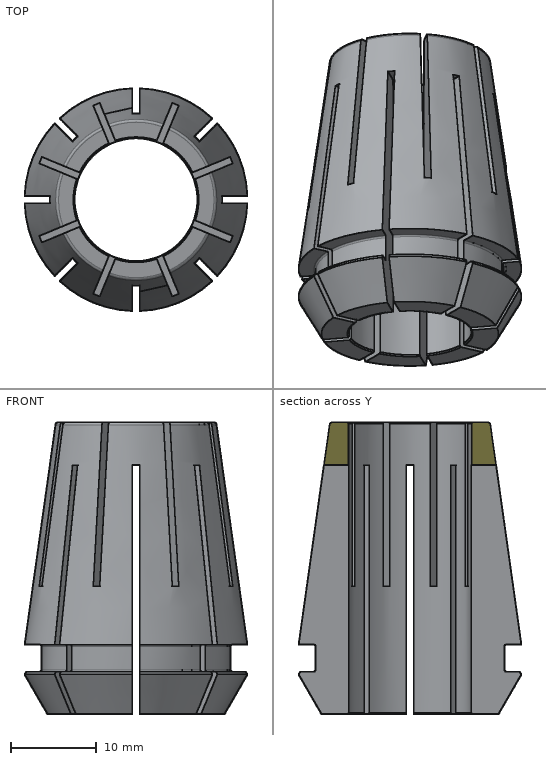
import cadquery as cq
import math

height = 34
rim_radius = 25.98 / 2
bore_radius = 14.28 / 2

taper_angle = 8
top_edge_radius = 0.35
bore_chamfer = 0.17

groove_radius = 22.03 / 2
groove_bottom = 4.95
groove_top = 8.1
groove_corner_radius = 0.2
nose_angle = 30
nose_rim_height = 4.62
nose_rim_chamfer = 0.2

slots_per_ring = 8
slot_pitch = 360 / slots_per_ring
slot_width = 0.8
lower_slot_end = 29.0
upper_slot_end = 14.9
cutter_length = height


def cone_drop(axial_length, angle):
    """Change of radius along a cone of the given half angle."""
    return axial_length * math.tan(math.radians(angle))


def make_body():
    """Revolved collet: nose cone, nut groove, clamping taper and bore."""
    nose_radius = rim_radius - cone_drop(nose_rim_height, nose_angle)
    top_radius = rim_radius - cone_drop(height - groove_top, taper_angle)
    corner = groove_corner_radius
    arc_inset = corner * (1 - math.sqrt(0.5))
    return (
        cq.Workplane("XZ")
        .moveTo(bore_radius + bore_chamfer, 0)
        .lineTo(nose_radius, 0)
        .lineTo(rim_radius, nose_rim_height)
        .lineTo(rim_radius - nose_rim_chamfer, groove_bottom)
        .lineTo(groove_radius + corner, groove_bottom)
        .threePointArc(
            (groove_radius + arc_inset, groove_bottom + arc_inset),
            (groove_radius, groove_bottom + corner),
        )
        .lineTo(groove_radius, groove_top - corner)
        .threePointArc(
            (groove_radius + arc_inset, groove_top - arc_inset),
            (groove_radius + corner, groove_top),
        )
        .lineTo(rim_radius, groove_top)
        .lineTo(top_radius, height)
        .lineTo(bore_radius + bore_chamfer, height)
        .lineTo(bore_radius, height - bore_chamfer)
        .lineTo(bore_radius, bore_chamfer)
        .close()
        .revolve(360, (0, 0, 0), (0, 1, 0))
        .faces(">Z")
        .edges(cq.selectors.RadiusNthSelector(-1))
        .fillet(top_edge_radius)
    )


def make_slot_ring(start, end, first_angle):
    """Radial slot cutters between two heights, evenly spaced around the axis."""
    cutter_count = slots_per_ring // 2
    cutter_angles = [first_angle + index * slot_pitch for index in range(cutter_count)]
    cutter = cq.Workplane("XY", origin=(0, 0, start)).rect(cutter_length, slot_width).extrude(end - start)
    ring = cq.Workplane("XY")
    for angle in cutter_angles:
        ring = ring.union(cutter.rotate((0, 0, 0), (0, 0, 1), angle))
    return ring


lower_slots = make_slot_ring(0, lower_slot_end, 0)
upper_slots = make_slot_ring(upper_slot_end, height, slot_pitch / 2)

result = make_body().cut(lower_slots).cut(upper_slots)